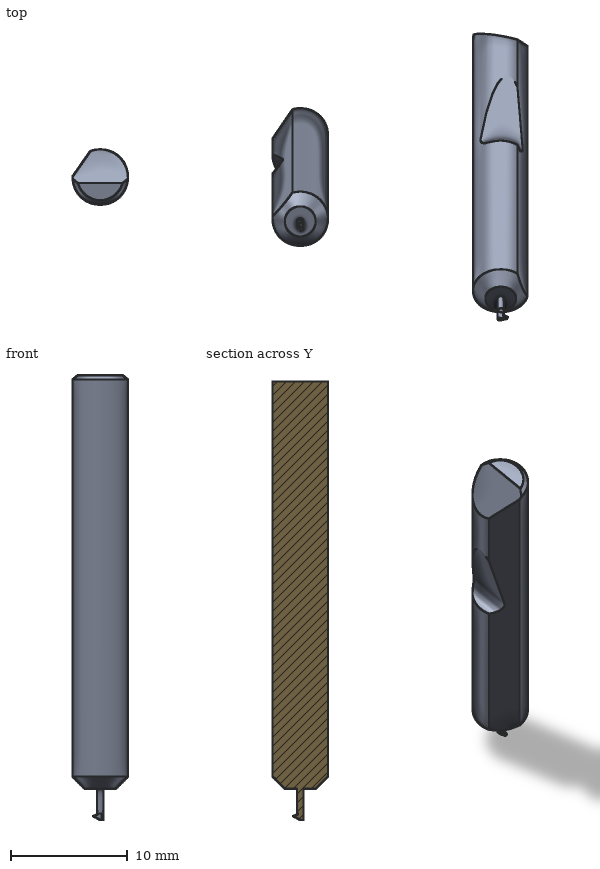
import cadquery as cq
import math

shank_diameter = 4.76
total_length = 38.1
shank_radius = shank_diameter / 2

neck_length = 2.66
shoulder_height = 1.06
shoulder_angle = 45.0
rear_chamfer = 0.4

rear_slant_angle = 45.0
rear_slant_end_y = -0.53

flat_direction = 145.0
flat_distance = 1.97

notch_start_z = 21.1
notch_end_z = 29.9
notch_slope_angle = 9.4
notch_corner_radius = 1.0

neck_radius = 0.28
rake_face_y = 0.03
rake_full_height = 0.78
rake_runout_angle = 45.0

tooth_reach = 0.62
tooth_point_z = 0.33
tooth_height = 0.54
tooth_root_x = 0.1
tooth_shoulder_x = -0.2
tooth_shoulder_z = 0.5
tooth_toe_x = -0.02
tooth_back_y = -0.26
tooth_back_tilt = 6.0

clearance = 1.0


def make_shank():
    """Round shank with a conical shoulder below and a chamfered rear end."""
    shoulder_inset = shoulder_height * math.tan(math.radians(shoulder_angle))
    profile = (
        cq.Workplane("XZ")
        .moveTo(0, neck_length)
        .lineTo(shank_radius - shoulder_inset, neck_length)
        .lineTo(shank_radius, neck_length + shoulder_height)
        .lineTo(shank_radius, total_length - rear_chamfer)
        .lineTo(shank_radius - rear_chamfer, total_length)
        .lineTo(0, total_length)
        .close()
    )
    return profile.revolve(360, (0, 0, 0), (0, 1, 0))


def side_prism(points):
    """Prism through the full shank width from an outline of (y, z) points."""
    width = shank_diameter + 2 * clearance
    return cq.Workplane("YZ").polyline(points).close().extrude(width / 2, both=True)


def make_rear_slant():
    """Material above the slanted plane at the rear end."""
    slope = math.tan(math.radians(rear_slant_angle))
    outer_y = shank_radius + clearance
    inner_y = rear_slant_end_y - clearance
    low_z = total_length - (outer_y - rear_slant_end_y) * slope
    high_z = total_length + clearance * slope
    return side_prism([(inner_y, high_z), (outer_y, low_z), (outer_y, high_z)])


def make_flat():
    """Material outside the locating flat."""
    size = shank_diameter + 2 * clearance
    block = cq.Workplane("XY").box(size, size, total_length, centered=(False, True, False))
    return block.translate((flat_distance, 0, 0)).rotate((0, 0, 0), (0, 0, 1), flat_direction)


def make_notch():
    """Clamping notch: a square lower shoulder, a rounded corner and a long sloped floor."""
    floor_run = math.tan(math.radians(notch_slope_angle))
    outer_y = shank_radius + clearance
    corner_y = shank_radius - (notch_end_z - notch_start_z) * floor_run
    outer_z = notch_end_z + clearance / floor_run
    notch = side_prism([(outer_y, notch_start_z), (corner_y, notch_start_z), (outer_y, outer_z)])
    corner = cq.selectors.NearestToPointSelector((0, corner_y, notch_start_z))
    return notch.edges(corner).fillet(notch_corner_radius)


def make_neck():
    """Slender neck with its +Y half removed near the tip."""
    neck = cq.Workplane("XY").circle(neck_radius).extrude(neck_length + shoulder_height)
    runout = clearance * math.tan(math.radians(rake_runout_angle))
    outer_y = rake_face_y + clearance
    rake_cut = side_prism([
        (rake_face_y, -clearance),
        (outer_y, -clearance),
        (outer_y, rake_full_height + runout),
        (rake_face_y, rake_full_height),
    ])
    return neck.cut(rake_cut)


def make_tooth_space():
    """Part of the neck that makes room for the tooth."""
    space = cq.Workplane("XY").box(clearance, 2 * clearance, tooth_height, centered=(False, True, False))
    return space.translate((tooth_root_x - clearance, 0, 0))


def make_tooth():
    """Pointed tooth with its cutting edge on the rake face and a tilted back face."""
    outline = [
        (tooth_root_x, 0),
        (tooth_root_x, tooth_height),
        (tooth_shoulder_x, tooth_height),
        (tooth_shoulder_x, tooth_shoulder_z),
        (-tooth_reach, tooth_point_z),
        (tooth_toe_x, 0),
    ]
    tooth = cq.Workplane("XZ", origin=(0, rake_face_y, 0)).polyline(outline).close()
    tooth = tooth.extrude(rake_face_y - tooth_back_y)

    tilt_run = tooth_root_x + tooth_reach
    tip_back_y = tooth_back_y + tilt_run * math.tan(math.radians(tooth_back_tilt))
    tilt_wedge = (
        cq.Workplane("XY")
        .moveTo(tooth_root_x, tooth_back_y)
        .lineTo(-tooth_reach, tip_back_y)
        .lineTo(-tooth_reach, tooth_back_y)
        .close()
        .extrude(tooth_height)
    )
    return tooth.cut(tilt_wedge)


shank = make_shank().cut(make_rear_slant()).cut(make_flat()).cut(make_notch())
neck = make_neck().cut(make_tooth_space())
result = shank.union(neck).union(make_tooth())